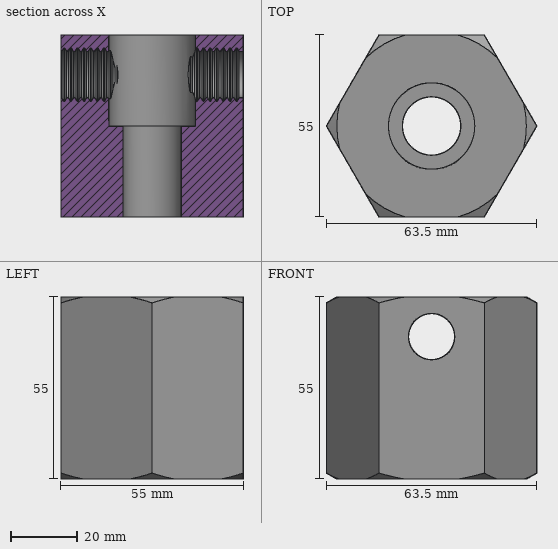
import cadquery as cq
import math

across_corners = 63.5
across_flats = across_corners * math.cos(math.radians(30))
height = across_flats

bevel_circle_radius = 28.6
bevel_angle = 30.0
corner_clearance = 0.65

bore_diameter = 17.5
counterbore_diameter = 26.05
counterbore_depth = height / 2

thread_minor_diameter = 13.85
thread_depth = 1.1
thread_angle = 60.0
groove_count = 27
thread_pitch = across_flats / (groove_count + 0.5)
crest_width = thread_pitch / 4
flank_run = thread_depth * math.tan(math.radians(thread_angle / 2))
cross_hole_depth = 12.0


def bevelled_hexagon():
    """Hexagonal prism intersected with a turned blank whose rims are bevelled."""
    prism = cq.Workplane("XY").polygon(6, across_corners).extrude(height / 2, both=True)
    blank_radius = across_corners / 2 + corner_clearance
    bevel_height = (blank_radius - bevel_circle_radius) * math.tan(math.radians(bevel_angle))
    blank_half_height = height / 2 - bevel_height
    blank = (
        cq.Workplane("XZ")
        .moveTo(0, -height / 2)
        .lineTo(bevel_circle_radius, -height / 2)
        .lineTo(blank_radius, -blank_half_height)
        .lineTo(blank_radius, blank_half_height)
        .lineTo(bevel_circle_radius, height / 2)
        .lineTo(0, height / 2)
        .close()
        .revolve(360, (0, 0), (0, 1))
    )
    return prism.intersect(blank)


def axial_bore():
    """Through bore with a wider counterbore sunk from the top face."""
    bore = cq.Workplane("XY").circle(bore_diameter / 2).extrude(height / 2, both=True)
    counterbore = (
        cq.Workplane("XY", origin=(0, 0, height / 2))
        .circle(counterbore_diameter / 2)
        .extrude(-counterbore_depth)
    )
    return bore.union(counterbore)


def threaded_cross_hole():
    """Through hole along Y, grooved at every pitch from the -Y flat onwards."""
    minor_radius = thread_minor_diameter / 2
    major_radius = minor_radius + thread_depth
    front = -across_flats / 2
    outline = cq.Workplane("XY").moveTo(0, front).lineTo(minor_radius, front)
    for groove in range(groove_count):
        groove_start = front + groove * thread_pitch + crest_width / 2
        groove_end = groove_start + thread_pitch - crest_width
        outline = (
            outline.lineTo(minor_radius, groove_start)
            .lineTo(major_radius, groove_start + flank_run)
            .lineTo(major_radius, groove_end - flank_run)
            .lineTo(minor_radius, groove_end)
        )
    outline = outline.lineTo(minor_radius, -front).lineTo(0, -front).close()
    hole = outline.revolve(360, (0, 0), (0, 1))
    return hole.translate((0, 0, height / 2 - cross_hole_depth))


result = bevelled_hexagon().cut(axial_bore()).cut(threaded_cross_hole())